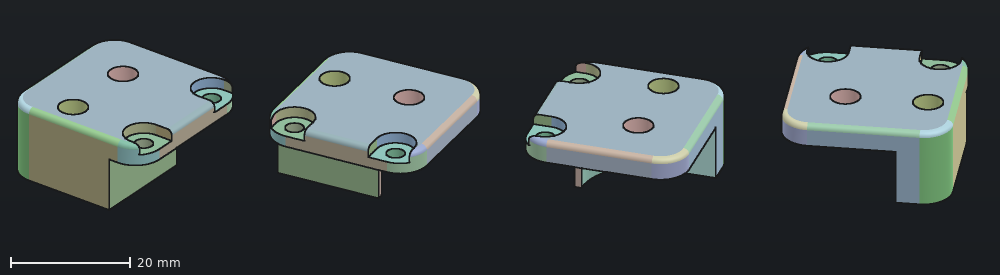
import cadquery as cq

length_x = 28.5
width_y = 29.0
total_height = 13.8
plate_thickness = 4.0
corner_radius = 5.0
top_fillet = 1.0

main_hole_diameter = 5.1
main_hole_x = 10.5
main_hole_y = corner_radius
main_hole_spacing = 14.0

screw_hole_diameter = 3.2
screw_edge_distance = 3.25
recess_radius = 3.5
recess_depth = 2.0

block_length_x = 21.75
inner_corner_radius = 9.98

block_depth = total_height - plate_thickness
second_hole_y = main_hole_y + main_hole_spacing
foot_width_y = second_hole_y - inner_corner_radius
screw_x = length_x - screw_edge_distance
screw_ys = (corner_radius, width_y - corner_radius)


def make_plate():
    plate = cq.Workplane("XY").box(length_x, width_y, plate_thickness, centered=False)
    return plate.edges("|Z").fillet(corner_radius).faces(">Z").edges().fillet(top_fillet)


def make_block():
    inner_wall_x = main_hole_x + inner_corner_radius
    block = (
        cq.Workplane("XY")
        .moveTo(corner_radius, 0)
        .lineTo(block_length_x, 0)
        .lineTo(block_length_x, second_hole_y)
        .lineTo(inner_wall_x, second_hole_y)
        .radiusArc((main_hole_x, foot_width_y), inner_corner_radius)
        .lineTo(0, foot_width_y)
        .lineTo(0, corner_radius)
        .radiusArc((corner_radius, 0), -corner_radius)
        .close()
        .extrude(-block_depth)
    )
    return block


def make_recess(center_y):
    """Pocket with a round inner end that runs straight out through the +X side."""
    floor = cq.Workplane("XY", origin=(screw_x, center_y, plate_thickness - recess_depth))
    round_end = floor.circle(recess_radius).extrude(recess_depth)
    open_side = (
        floor.center(recess_radius / 2, 0)
        .rect(recess_radius, 2 * recess_radius)
        .extrude(recess_depth)
    )
    return round_end.union(open_side)


def make_through_holes(points, diameter):
    base = cq.Workplane("XY", origin=(0, 0, -block_depth))
    return base.pushPoints(points).circle(diameter / 2).extrude(total_height)


main_hole_points = [(main_hole_x, y) for y in (main_hole_y, second_hole_y)]
screw_points = [(screw_x, y) for y in screw_ys]

result = make_plate().union(make_block())
for screw_y in screw_ys:
    result = result.cut(make_recess(screw_y))
result = result.cut(make_through_holes(main_hole_points, main_hole_diameter))
result = result.cut(make_through_holes(screw_points, screw_hole_diameter))